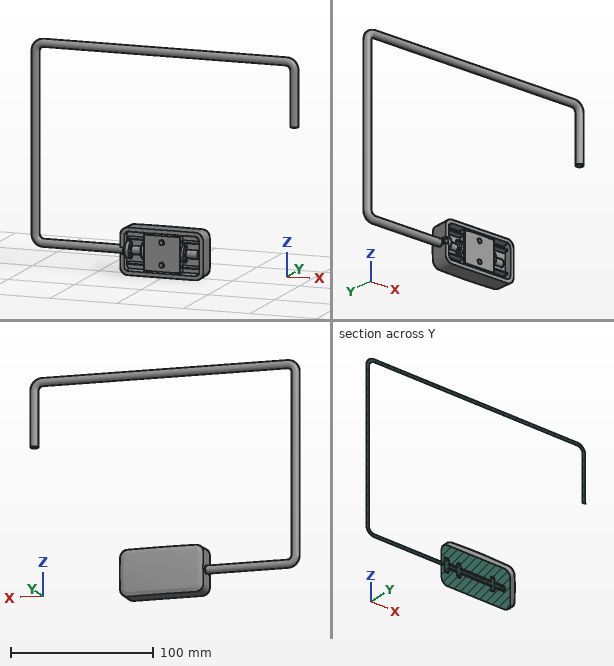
import cadquery as cq
import math

overall_length = 200.0
overall_height = 164.0
wire_radius = 3.0
bend_radius = 6.0
hook_end_z = 114.0
wire_y = 6.8
wire_end_chamfer = 0.5

shoulder_x = -30.5
neck_radius = 2.2
shaft_end_x = 26.2
shaft_end_chamfer = 1.0
collar_radius = 6.0
collar_chamfer = 1.0
wall_collar_width = 4.0
block_collar_far_x = 16.8
seat_clearance = 0.5

housing_length = 62.5
housing_height = 34.5
housing_depth = 17.0
housing_corner_radius = 6.0
housing_draft = 1.0
bulge_radius_along = 360.0
bulge_radius_across = 120.0
back_chamfer_drop = 0.8
back_chamfer_inset = 3.0
axis_z = housing_height / 2

wall = 3.0
cavity_length = housing_length - 2 * wall
cavity_height = housing_height - 2 * wall
cavity_depth = 5.5
cavity_lean = 0.8
cavity_corner_radius = 3.5
slot_height = 5.0

rib_length = 54.0
rib_root_thickness = 1.5
rib_tip_thickness = 0.5
rib_offset = 9.0
rib_front_y = 0.8

block_length = 26.8
block_height = 25.8
block_base_length = 27.5
block_base_height = 26.8
block_front_thickness = 0.8
block_notch_length = 18.5
screw_hole_radius = 1.8
screw_hole_spacing = 16.2


def box_between(x_range, y_range, z_range):
    size = [high - low for low, high in (x_range, y_range, z_range)]
    box = cq.Workplane("XY").box(*size, centered=False)
    return box.translate((x_range[0], y_range[0], z_range[0]))


def round_bar(radius, x_start, x_end):
    """Cylinder on the wire axis through the housing."""
    return cq.Workplane("YZ", origin=(x_start, wire_y, axis_z)).circle(radius).extrude(x_end - x_start)


def front_plane(y=0.0, z=axis_z):
    """Sketch plane facing the front; a negative extrusion goes towards +Y."""
    return cq.Workplane("XZ", origin=(0, y, z))


def rounded_tray(length, height, corner_radius, depth, draft=0.0):
    outline = front_plane().sketch().rect(length, height).vertices().fillet(corner_radius).finalize()
    return outline.extrude(-depth, taper=draft)


def make_bent_wire():
    left_x = -overall_length / 2 + wire_radius
    right_x = overall_length / 2 - wire_radius
    top_z = overall_height - wire_radius
    inset = bend_radius * (1 - math.sqrt(0.5))
    path = (
        cq.Workplane("XZ", origin=(0, wire_y, 0))
        .moveTo(shoulder_x, axis_z)
        .lineTo(left_x + bend_radius, axis_z)
        .threePointArc((left_x + inset, axis_z + inset), (left_x, axis_z + bend_radius))
        .lineTo(left_x, top_z - bend_radius)
        .threePointArc((left_x + inset, top_z - inset), (left_x + bend_radius, top_z))
        .lineTo(right_x - bend_radius, top_z)
        .threePointArc((right_x - inset, top_z - inset), (right_x, top_z - bend_radius))
        .lineTo(right_x, hook_end_z)
    )
    section = cq.Workplane("YZ", origin=(shoulder_x, wire_y, axis_z)).circle(wire_radius)
    hook_end = cq.selectors.NearestToPointSelector((right_x, wire_y, hook_end_z))
    return section.sweep(path).faces(hook_end).chamfer(wire_end_chamfer)


def make_collar(root_x, end_x, clearance):
    """Disc on the wire, chamfered on the side that faces away from root_x."""
    collar = round_bar(collar_radius + clearance, min(root_x, end_x), max(root_x, end_x))
    return collar.faces(">X" if end_x > root_x else "<X").chamfer(collar_chamfer)


def make_shaft(clearance=0.0):
    """Neck, shaft and collars; a clearance makes them that much larger in radius."""
    wall_x = -cavity_length / 2
    block_x = block_base_length / 2
    neck = round_bar(neck_radius + clearance, shoulder_x, wall_x)
    shaft = round_bar(wire_radius + clearance, wall_x, shaft_end_x)
    shaft = shaft.faces(">X").chamfer(shaft_end_chamfer).union(neck)
    shaft = shaft.union(make_collar(wall_x, wall_x + wall_collar_width, clearance))
    for side in (-1, 1):
        shaft = shaft.union(make_collar(side * block_x, side * block_collar_far_x, clearance))
    return shaft


def make_wire():
    return make_bent_wire().union(make_shaft())


def make_bulge():
    """Solid whose +Y side is curved along X and, more tightly, along Z."""
    half_length = housing_length / 2
    sag = bulge_radius_along - math.sqrt(bulge_radius_along**2 - half_length**2)
    axis_y = housing_depth - bulge_radius_across
    profile = (
        cq.Workplane("XY", origin=(0, 0, axis_z))
        .moveTo(-half_length, axis_y)
        .lineTo(-half_length, housing_depth - sag)
        .threePointArc((0, housing_depth), (half_length, housing_depth - sag))
        .lineTo(half_length, axis_y)
        .close()
    )
    return profile.revolve(360, (-half_length, axis_y, 0), (half_length, axis_y, 0))


def make_cavity():
    half_height = cavity_height / 2
    leaning_walls = (
        cq.Workplane("YZ", origin=(0, 0, axis_z))
        .polyline([
            (0, -half_height),
            (cavity_depth, -half_height + cavity_lean),
            (cavity_depth, half_height - cavity_lean),
            (0, half_height),
        ])
        .close()
        .extrude(cavity_length / 2, both=True)
    )
    tray = rounded_tray(cavity_length, cavity_height, cavity_corner_radius, cavity_depth)
    return tray.intersect(leaning_walls)


def make_rib(z):
    thinning = rib_root_thickness - rib_tip_thickness
    return (
        front_plane(cavity_depth, z)
        .rect(rib_length, rib_root_thickness)
        .workplane(offset=cavity_depth - rib_front_y)
        .rect(rib_length - thinning, rib_tip_thickness)
        .loft(ruled=True)
    )


def make_housing(wire):
    housing = rounded_tray(
        housing_length, housing_height, housing_corner_radius, housing_depth, housing_draft
    )
    housing = housing.intersect(make_bulge())
    housing = housing.faces(">Y").chamfer(back_chamfer_drop, back_chamfer_inset)
    housing = housing.cut(make_cavity())
    for side in (-1, 1):
        rib = make_rib(axis_z + side * rib_offset).cut(make_block_body())
        housing = housing.union(rib)
    wall_slot = box_between(
        (-housing_length / 2, -cavity_length / 2),
        (0, wire_y),
        (axis_z - slot_height / 2, axis_z + slot_height / 2),
    )
    return housing.cut(wall_slot).cut(make_shaft(seat_clearance)).cut(wire)


def make_block_body():
    """Block before its notches, screw holes and wire passage are cut."""
    front = front_plane().rect(block_length, block_height).extrude(-cavity_depth)
    base = front_plane(block_front_thickness).rect(block_base_length, block_base_height)
    return front.union(base.extrude(block_front_thickness - cavity_depth))


def make_block(wire):
    block = make_block_body()
    notch_depth = (block_base_height - block_height) / 2
    for side in (-1, 1):
        notch = cq.Workplane("XY").box(block_notch_length, 2 * cavity_depth, 2 * notch_depth)
        block = block.cut(notch.translate((0, 0, axis_z + side * block_base_height / 2)))
        hole = front_plane(z=axis_z + side * screw_hole_spacing / 2)
        block = block.cut(hole.circle(screw_hole_radius).extrude(-cavity_depth))
    return block.cut(wire)


wire = make_wire()
block = make_block(wire)
housing = make_housing(wire)
result = cq.Compound.makeCompound([housing.solids().val(), block.solids().val(), wire.solids().val()])